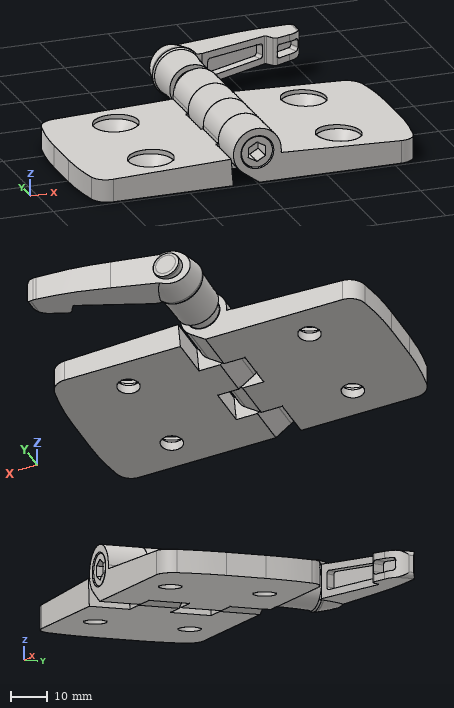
import cadquery as cq
import math

HALF_SPAN = 48.5
LEAF_WIDTH = 48.0
HALF_WIDTH = LEAF_WIDTH / 2
OUTER_THICKNESS = 6.5
INNER_THICKNESS = 8.0
INNER_EDGE_TOP = 7.7
CORNER_RADIUS = 5.0
OUTER_FLAT_HALF = 5.8
OUTER_ARC_RADIUS = 69.8

AXIS_HEIGHT = 9.0
KNUCKLE_RADIUS = 7.0
KNUCKLE_LENGTH = LEAF_WIDTH / 4
WEB_SHOULDER = 7.1
WEB_TOE = 0.6

SCREW_X = 27.45
SCREW_Y = 14.0
SCREW_HOLE_DIAMETER = 6.4
SCREW_HEAD_DIAMETER = 12.8
SCREW_HEAD_BASE = 6.0

PIN_RADIUS = 9.0 / 2
BORE_CHAMFER = 0.3
HEX_ACROSS_FLATS = 4.9
HEX_DEPTH = 5.8

COLLAR_RADIUS = 10.0 / 2
COLLAR_TOP = 4.1
HUB_BASE_RADIUS = 6.5
HUB_WAIST_RADIUS = 6.6
HUB_WAIST_HEIGHT = 10.1
HUB_NECK_RADIUS = 6.9
HUB_NECK_HEIGHT = 15.1
LIP_RADIUS = 7.3
LIP_START = 15.7
LIP_END = 16.3
DOME_MIDDLE = (6.6, 19.5)
DOME_TOP = (4.8, 25.2)

BUTTON_RADIUS = 8.0 / 2
BUTTON_BASE = 17.5
BUTTON_BEVEL_START = 23.7
BUTTON_RIM_RADIUS = 3.9
BUTTON_RIM_HEIGHT = 24.25
BUTTON_TOP_RADIUS = 6.0 / 2
BUTTON_TOP_HEIGHT = 24.4

ARM_BACK_SLOPE = 0.24
ARM_BACK_AT_AXIS = 22.9
ARM_BACK_STRAIGHT_END = 15.7
ARM_BACK_MIDDLE = (28.5, 29.2)
ARM_BACK_CREST = (36.7, 30.0)
ARM_TIP_REACH = 39.8
TIP_CREST_END = 37.6
TIP_CORNER_MIDDLE = (39.1, 29.6)
TIP_CORNER_END = 29.1
TIP_STRAIGHT_END = 27.6
TIP_UNDERSIDE_MIDDLE = (38.2, 24.2)
ARM_BELLY_START = (7.0, 15.1)
LOWER_EDGE_SLOPE = 0.38
NOTCH_X = 28.5
HOOK_CORNER = (30.4, 20.5)
HOOK_STRAIGHT_END = 35.2
NOTCH_RADIUS = 0.5
HOOK_RADIUS = 1.1
ARM_HALF_AT_AXIS = 5.0
ARM_TAPER = 0.032
ARM_TIP_EDGE_RADIUS = 1.5

POCKET_WALL = 2.0
POCKET_CORNER_RADIUS = 0.9
POCKET_RUN_OUT = 0.8
BELLY_POCKET = (8.9, 27.5)
BELLY_POCKET_DEPTH = 2.6
HOOK_POCKET = (31.0, 38.6)
HOOK_POCKET_DEPTH = 3.7

OVERSIZE = 19.4


def plate_top(x):
    """Height of the sloping upper face at a distance from the hinge axis."""
    slope = (INNER_THICKNESS - OUTER_THICKNESS) / (HALF_SPAN - INNER_EDGE_TOP)
    return INNER_THICKNESS + slope * (INNER_EDGE_TOP - x)


def along_y(section, start, length):
    """Extrude a closed XZ section from Y = start towards +Y."""
    return section.extrude(-length).translate((0, start, 0))


def plate():
    """Wedge-shaped plate whose outer side bulges between rounded corners."""
    wedge = along_y(
        cq.Workplane("XZ").polyline([
            (KNUCKLE_RADIUS, 0),
            (HALF_SPAN, 0),
            (HALF_SPAN, OUTER_THICKNESS),
            (INNER_EDGE_TOP, INNER_THICKNESS),
        ]).close(),
        -HALF_WIDTH, LEAF_WIDTH)

    def bulge(y):
        run = y - OUTER_FLAT_HALF
        return HALF_SPAN - OUTER_ARC_RADIUS + math.sqrt(OUTER_ARC_RADIUS**2 - run**2)

    middle_y = (HALF_WIDTH + OUTER_FLAT_HALF) / 2
    outline = (
        cq.Workplane("XY").moveTo(0, -HALF_WIDTH)
        .lineTo(bulge(HALF_WIDTH), -HALF_WIDTH)
        .threePointArc((bulge(middle_y), -middle_y), (HALF_SPAN, -OUTER_FLAT_HALF))
        .lineTo(HALF_SPAN, OUTER_FLAT_HALF)
        .threePointArc((bulge(middle_y), middle_y), (bulge(HALF_WIDTH), HALF_WIDTH))
        .lineTo(0, HALF_WIDTH)
        .close()
        .extrude(OVERSIZE)
    )
    corners = cq.selectors.BoxSelector(
        (HALF_SPAN - CORNER_RADIUS, -LEAF_WIDTH, 0), (HALF_SPAN, LEAF_WIDTH, OVERSIZE))
    outline = outline.edges("|Z").edges(corners).edges("<Y or >Y").fillet(CORNER_RADIUS)
    return wedge.intersect(outline)


def knuckle(start):
    """Barrel with the web that carries it, tangent to the barrel underneath."""
    toe_distance = math.hypot(WEB_TOE, AXIS_HEIGHT)
    tangent_angle = -math.atan2(AXIS_HEIGHT, WEB_TOE) - math.acos(KNUCKLE_RADIUS / toe_distance)

    def on_barrel(angle):
        return (KNUCKLE_RADIUS * math.cos(angle), AXIS_HEIGHT + KNUCKLE_RADIUS * math.sin(angle))

    section = (
        cq.Workplane("XZ").moveTo(KNUCKLE_RADIUS, AXIS_HEIGHT)
        .threePointArc(on_barrel(tangent_angle / 2 + math.pi), on_barrel(tangent_angle))
        .lineTo(WEB_TOE, 0)
        .lineTo(INNER_EDGE_TOP, 0)
        .lineTo(INNER_EDGE_TOP, INNER_THICKNESS)
        .lineTo(WEB_SHOULDER, plate_top(WEB_SHOULDER))
        .close()
    )
    return along_y(section, start, KNUCKLE_LENGTH)


def screw_cutter(x, y):
    """Through hole with a 90 degree countersink below a short cylindrical recess."""
    hole_radius = SCREW_HOLE_DIAMETER / 2
    head_radius = SCREW_HEAD_DIAMETER / 2
    return (
        cq.Workplane("XZ").polyline([
            (0, 0),
            (hole_radius, 0),
            (hole_radius, SCREW_HEAD_BASE - (head_radius - hole_radius)),
            (head_radius, SCREW_HEAD_BASE),
            (head_radius, OVERSIZE),
            (0, OVERSIZE),
        ]).close()
        .revolve(360, (0, 0, 0), (0, 1, 0))
        .translate((x, y, 0))
    )


def bore_cutter():
    """Pin bore, chamfered at the free side of the first knuckle."""
    mouth_radius = PIN_RADIUS + BORE_CHAMFER
    return (
        cq.Workplane("XY").polyline([
            (0, -HALF_WIDTH),
            (mouth_radius, -HALF_WIDTH),
            (PIN_RADIUS, -HALF_WIDTH + BORE_CHAMFER),
            (PIN_RADIUS, HALF_WIDTH),
            (0, HALF_WIDTH),
        ]).close()
        .revolve(360, (0, 0, 0), (0, 1, 0))
        .translate((0, 0, AXIS_HEIGHT))
    )


def leaf():
    """Leaf on the +X side, with the first and third knuckle counted from -Y."""
    body = plate()
    for place in (0, 2):
        body = body.union(knuckle(-HALF_WIDTH + place * KNUCKLE_LENGTH))
    for y in (-SCREW_Y, SCREW_Y):
        body = body.cut(screw_cutter(SCREW_X, y))
    return body.cut(bore_cutter())



def arm_back(x):
    return ARM_BACK_AT_AXIS + ARM_BACK_SLOPE * x


def arm_belly(x):
    return ARM_BELLY_START[1] + LOWER_EDGE_SLOPE * (x - ARM_BELLY_START[0])


def hook_edge(x):
    return HOOK_CORNER[1] + LOWER_EDGE_SLOPE * (x - HOOK_CORNER[0])


def arm_half_thickness(x):
    return ARM_HALF_AT_AXIS - ARM_TAPER * x


def pin_and_hub():
    """Pin, collar and flared hub with its dome, cut off along the back of the arm."""
    turned = (
        cq.Workplane("XY").moveTo(0, -LEAF_WIDTH + BORE_CHAMFER)
        .lineTo(PIN_RADIUS, -LEAF_WIDTH + BORE_CHAMFER)
        .lineTo(PIN_RADIUS, 0)
        .lineTo(COLLAR_RADIUS, 0)
        .lineTo(COLLAR_RADIUS, COLLAR_TOP)
        .lineTo(HUB_BASE_RADIUS, COLLAR_TOP)
        .threePointArc((HUB_WAIST_RADIUS, HUB_WAIST_HEIGHT), (HUB_NECK_RADIUS, HUB_NECK_HEIGHT))
        .lineTo(LIP_RADIUS, LIP_START)
        .lineTo(LIP_RADIUS, LIP_END)
        .threePointArc(DOME_MIDDLE, DOME_TOP)
        .lineTo(0, DOME_TOP[1])
        .close()
        .revolve(360, (0, 0, 0), (0, 1, 0))
    )
    above_back = (
        cq.Workplane("XY").polyline([
            (-OVERSIZE, arm_back(-OVERSIZE)),
            (OVERSIZE, arm_back(OVERSIZE)),
            (-OVERSIZE, arm_back(OVERSIZE)),
        ]).close()
        .extrude(OVERSIZE, both=True)
    )
    return turned.cut(above_back)


def button():
    """Round push button with a bevelled, slightly raised end."""
    return (
        cq.Workplane("XY").polyline([
            (0, BUTTON_BASE),
            (BUTTON_RADIUS, BUTTON_BASE),
            (BUTTON_RADIUS, BUTTON_BEVEL_START),
            (BUTTON_RIM_RADIUS, BUTTON_RIM_HEIGHT),
            (BUTTON_TOP_RADIUS, BUTTON_TOP_HEIGHT),
            (0, BUTTON_TOP_HEIGHT),
        ]).close()
        .revolve(360, (0, 0, 0), (0, 1, 0))
    )


def arm_blank():
    """Arm with a hooked, rounded end, tapering in thickness towards its tip."""
    notch_corner = (NOTCH_X, arm_belly(NOTCH_X))
    outline = (
        cq.Workplane("XY").moveTo(0, ARM_BELLY_START[1])
        .lineTo(*ARM_BELLY_START)
        .lineTo(*notch_corner)
        .lineTo(*HOOK_CORNER)
        .lineTo(HOOK_STRAIGHT_END, hook_edge(HOOK_STRAIGHT_END))
        .threePointArc(TIP_UNDERSIDE_MIDDLE, (ARM_TIP_REACH, TIP_STRAIGHT_END))
        .lineTo(ARM_TIP_REACH, TIP_CORNER_END)
        .threePointArc(TIP_CORNER_MIDDLE, (TIP_CREST_END, ARM_BACK_CREST[1]))
        .lineTo(*ARM_BACK_CREST)
        .threePointArc(ARM_BACK_MIDDLE, (ARM_BACK_STRAIGHT_END, arm_back(ARM_BACK_STRAIGHT_END)))
        .lineTo(0, ARM_BACK_AT_AXIS)
        .close()
        .extrude(OVERSIZE, both=True)
    )

    def upright_edge(point):
        return cq.selectors.NearestToPointSelector((*point, 0))

    outline = outline.edges("|Z").edges(upright_edge(notch_corner)).fillet(NOTCH_RADIUS)
    outline = outline.edges("|Z").edges(upright_edge(HOOK_CORNER)).fillet(HOOK_RADIUS)
    half_at_tip = arm_half_thickness(ARM_TIP_REACH)
    taper = along_y(
        cq.Workplane("XZ").polyline([
            (0, -ARM_HALF_AT_AXIS),
            (ARM_TIP_REACH, -half_at_tip),
            (ARM_TIP_REACH, half_at_tip),
            (0, ARM_HALF_AT_AXIS),
        ]).close(),
        0, 2 * OVERSIZE).edges("|Y and >X").fillet(ARM_TIP_EDGE_RADIUS)
    return outline.intersect(taper)


def pocket_cutter(ends, edge, depth):
    """Tapered pocket sunk at right angles into a straight lower edge of the arm."""
    first, last = ends
    length = (last - first) * math.hypot(1, LOWER_EDGE_SLOPE)
    half_first = arm_half_thickness(first) - POCKET_WALL
    half_last = arm_half_thickness(last) - POCKET_WALL
    mouth = cq.Plane(
        origin=(first, edge(first), 0),
        xDir=(1, LOWER_EDGE_SLOPE, 0),
        normal=(-LOWER_EDGE_SLOPE, 1, 0),
    )
    blank = (
        cq.Workplane(mouth).polyline([
            (0, -half_first),
            (length, -half_last),
            (length, half_last),
            (0, half_first),
        ]).close()
        .extrude(depth + POCKET_RUN_OUT)
        .translate(mouth.zDir * -POCKET_RUN_OUT)
    )
    return blank.edges(cq.selectors.ParallelDirSelector(mouth.zDir)).fillet(POCKET_CORNER_RADIUS)


def hex_socket():
    """Hexagon recess in the free end of the pin, two flats upright."""
    across_corners = HEX_ACROSS_FLATS / math.cos(math.pi / 6)
    prism = cq.Workplane("XZ").polygon(6, across_corners).extrude(-HEX_DEPTH)
    return prism.rotate((0, 0, 0), (0, 1, 0), 30).translate((0, -LEAF_WIDTH + BORE_CHAMFER, 0))


def clamping_lever():
    """Hinge pin in one piece with its hub, button and arm."""
    body = pin_and_hub().union(arm_blank()).union(button())
    body = body.cut(pocket_cutter(BELLY_POCKET, arm_belly, BELLY_POCKET_DEPTH))
    body = body.cut(pocket_cutter(HOOK_POCKET, hook_edge, HOOK_POCKET_DEPTH))
    body = body.cut(hex_socket())
    return body.translate((0, HALF_WIDTH, AXIS_HEIGHT))


right_leaf = leaf()
left_leaf = leaf().rotate((0, 0, 0), (0, 0, 1), 180)
lever = clamping_lever()

result = cq.Compound.makeCompound([right_leaf.val(), left_leaf.val(), lever.val()])